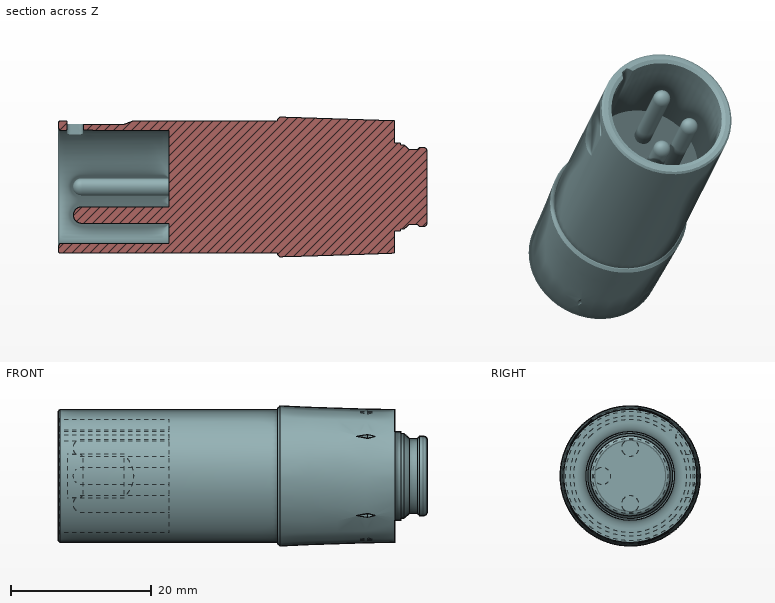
import cadquery as cq
import math

barrel_radius = 9.5
mouth_chamfer = 0.25

collar_start = 31.3
collar_end = 48.05
collar_radius = 10.0
collar_front_radius = 9.65
collar_chamfer = collar_radius - collar_front_radius

total_length = 52.7
shoulder_radius = 6.3
shoulder_end = 48.9
step_radius = 6.05
step_end = 49.35
neck_radius = 5.4
neck_start = 50.1
lip_start = 51.3
lip_radius = 5.7
lip_chamfer = lip_radius - neck_radius
lip_rounding = 0.65

socket_radius = 8.05
socket_depth = 15.8
lead_in_radius = 8.6
lead_in_depth = 0.2

pin_radius = 1.2
pin_circle_radius = 4.0
pin_tip = 2.15
pin_angles = (0, 90, 180)

keyway_angle = 45
keyway_floor_radius = 8.8
keyway_floor_width = 1.0
keyway_mouth_width = 2.1
keyway_mouth_radius = 7.9

window_start = 1.3
window_width = 2.25
window_height = 6.1
window_corner_radius = 0.55
flat_offset = 8.95
flat_end = 9.4
flat_runout = 10.8

dimple_count = 5
dimple_start = 42.6
dimple_middle = 44.15
dimple_end = 45.3
dimple_radius = 0.3


def make_shell():
    """Solid of revolution for the barrel, the collar and the nose."""
    outline = [
        (0, 0),
        (0, barrel_radius - mouth_chamfer),
        (mouth_chamfer, barrel_radius),
        (collar_start, barrel_radius),
        (collar_start, collar_front_radius),
        (collar_start + collar_chamfer, collar_radius),
        (collar_end, barrel_radius),
        (collar_end, shoulder_radius),
        (shoulder_end, shoulder_radius),
        (shoulder_end, step_radius),
        (step_end, step_radius),
        (neck_start, neck_radius),
        (lip_start, neck_radius),
        (lip_start + lip_chamfer, lip_radius),
        (total_length - lip_rounding, lip_radius),
    ]
    rounding_inset = lip_rounding * (1 - math.sqrt(0.5))
    return (
        cq.Workplane("XY")
        .polyline(outline)
        .threePointArc(
            (total_length - rounding_inset, lip_radius - rounding_inset),
            (total_length, lip_radius - lip_rounding),
        )
        .lineTo(total_length, 0)
        .close()
        .revolve(360, (0, 0), (1, 0))
    )


def make_socket():
    """Blind bore with a conical lead-in at the mouth."""
    outline = [
        (0, 0),
        (0, lead_in_radius),
        (lead_in_depth, socket_radius),
        (socket_depth, socket_radius),
        (socket_depth, 0),
    ]
    return cq.Workplane("XY").polyline(outline).close().revolve(360, (0, 0), (1, 0))


def make_pin(angle):
    """Round-tipped pin; the angle turns it about X, from +Z towards -Y."""
    shank_start = pin_tip + pin_radius
    bend = pin_radius * math.sqrt(0.5)
    pin = (
        cq.Workplane("XY")
        .moveTo(pin_tip, 0)
        .threePointArc((shank_start - bend, bend), (shank_start, pin_radius))
        .lineTo(socket_depth, pin_radius)
        .lineTo(socket_depth, 0)
        .close()
        .revolve(360, (0, 0), (1, 0))
    )
    return pin.translate((0, 0, pin_circle_radius)).rotate((0, 0, 0), (1, 0, 0), angle)


def make_keyway():
    """Groove with sloping sides, drawn at +Y and then turned towards +Z."""
    section = [
        (keyway_mouth_radius, -keyway_mouth_width / 2),
        (keyway_floor_radius, -keyway_floor_width / 2),
        (keyway_floor_radius, keyway_floor_width / 2),
        (keyway_mouth_radius, keyway_mouth_width / 2),
    ]
    groove = cq.Workplane("YZ").polyline(section).close().extrude(socket_depth)
    return groove.rotate((0, 0, 0), (1, 0, 0), keyway_angle)


def make_window():
    """Round-cornered slot that opens the socket to +Y."""
    return (
        cq.Workplane("XZ")
        .center(window_start + window_width / 2, 0)
        .rect(window_width, window_height)
        .extrude(-collar_radius)
        .edges("|Y")
        .fillet(window_corner_radius)
    )


def make_thumb_flat():
    """Flat with a sloping run-out at its rear end."""
    outline = [
        (window_start, barrel_radius),
        (window_start, flat_offset),
        (flat_end, flat_offset),
        (flat_runout, barrel_radius),
    ]
    return cq.Workplane("XY").polyline(outline).close().extrude(barrel_radius, both=True)


def make_dimple(angle):
    """Double cone centred on the collar surface."""
    taper = (collar_radius - barrel_radius) / (collar_end - collar_start - collar_chamfer)
    surface_radius = barrel_radius + taper * (collar_end - dimple_middle)
    outline = [
        (dimple_start, 0),
        (dimple_middle, dimple_radius),
        (dimple_end, 0),
    ]
    cone = cq.Workplane("XY").polyline(outline).close().revolve(360, (0, 0), (1, 0))
    return cone.translate((0, surface_radius, 0)).rotate((0, 0, 0), (1, 0, 0), angle)


result = make_shell().cut(make_socket()).cut(make_keyway())
result = result.cut(make_thumb_flat()).cut(make_window())
for pin_angle in pin_angles:
    result = result.union(make_pin(pin_angle))
for index in range(dimple_count):
    result = result.cut(make_dimple(index * 360 / dimple_count))